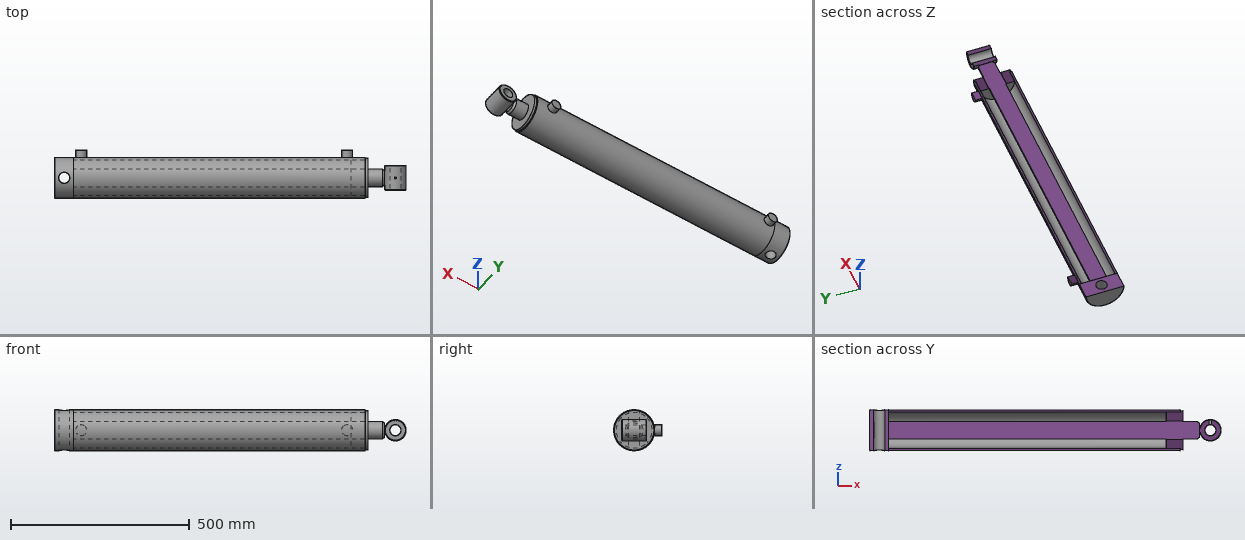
import cadquery as cq


tube_diameter = 115.0
bore_diameter = 100.0
tube_end_chamfer = 2.0

cap_length = 54.0
cap_chamfer = 2.0
base_pin_diameter = 30.5
base_pin_x = 27.5

gland_face_x = 876.5
gland_flange_diameter = 110.0
gland_flange_length = 7.0
gland_spigot_length = 40.0

rod_diameter = 50.0
rod_chamfer_length = 6.5
rod_chamfer_depth = 5.0

overall_length = 983.0
eye_diameter = 60.0
eye_bore_diameter = 30.5
eye_width = 70.0
eye_chamfer = 2.0
grease_hole_diameter = 5.5

port_diameter = 31.0
port_length = 20.0
port_positions_x = (75.0, 818.0)

tube_end_x = gland_face_x - gland_flange_length
tube_length = tube_end_x - cap_length
eye_x = overall_length - eye_diameter / 2
rod_end_x = eye_x - eye_diameter / 2


def cylinder_along_x(start_x, length, diameter):
    """Solid cylinder on the main axis."""
    return cq.Workplane("YZ", origin=(start_x, 0, 0)).circle(diameter / 2).extrude(length)


def make_base_cap():
    """Solid end plug with a cross hole for the mounting pin."""
    body = cylinder_along_x(0, cap_length, tube_diameter).faces("<X").chamfer(cap_chamfer)
    pin_hole = (
        cq.Workplane("XY")
        .center(base_pin_x, 0)
        .circle(base_pin_diameter / 2)
        .extrude(tube_diameter, both=True)
    )
    return body.cut(pin_hole)


def make_tube():
    """Barrel between the base cap and the gland flange."""
    body = cylinder_along_x(cap_length, tube_length, tube_diameter).faces(">X").chamfer(tube_end_chamfer)
    return body.cut(cylinder_along_x(cap_length, tube_length, bore_diameter))


def make_gland():
    """Flange on the tube end with a spigot in the bore, pierced by the rod."""
    flange = cylinder_along_x(tube_end_x, gland_flange_length, gland_flange_diameter)
    spigot = cylinder_along_x(tube_end_x - gland_spigot_length, gland_spigot_length, bore_diameter)
    return flange.union(spigot).cut(cylinder_along_x(0, overall_length, rod_diameter))


def make_rod():
    """Rod from the base cap through the gland to the eye."""
    chamfer_start_x = rod_end_x - rod_chamfer_length
    rod = cylinder_along_x(cap_length, chamfer_start_x - cap_length, rod_diameter)
    tapered_end = (
        cq.Workplane("XY")
        .moveTo(chamfer_start_x, 0)
        .lineTo(chamfer_start_x, rod_diameter / 2)
        .lineTo(rod_end_x, rod_diameter / 2 - rod_chamfer_depth)
        .lineTo(rod_end_x, 0)
        .close()
        .revolve(360, (0, 0, 0), (1, 0, 0))
    )
    return rod.union(tapered_end)


def make_eye():
    """Cross tube on the rod end, with a radial grease hole in its top."""
    barrel = (
        cq.Workplane("XZ", origin=(eye_x, eye_width / 2, 0))
        .circle(eye_diameter / 2)
        .extrude(eye_width)
        .faces("<Y or >Y")
        .chamfer(eye_chamfer)
    )
    bore = (
        cq.Workplane("XZ", origin=(eye_x, 0, 0))
        .circle(eye_bore_diameter / 2)
        .extrude(eye_width, both=True)
    )
    grease_hole = (
        cq.Workplane("XY", origin=(eye_x, 0, 0))
        .circle(grease_hole_diameter / 2)
        .extrude(eye_diameter)
    )
    return barrel.cut(bore).cut(grease_hole)


def make_port(x):
    """Round oil port with a flat foot that rests on the side of the barrel."""
    return (
        cq.Workplane("XZ", origin=(x, tube_diameter / 2, 0))
        .circle(port_diameter / 2)
        .extrude(-port_length)
    )


base_cap = make_base_cap()
tube = make_tube()
gland = make_gland()
rod = make_rod()
eye = make_eye()
ports = [make_port(x) for x in port_positions_x]

result = cq.Compound.makeCompound(
    [base_cap.val(), tube.val(), gland.val(), rod.val(), eye.val(), *[port.val() for port in ports]]
)